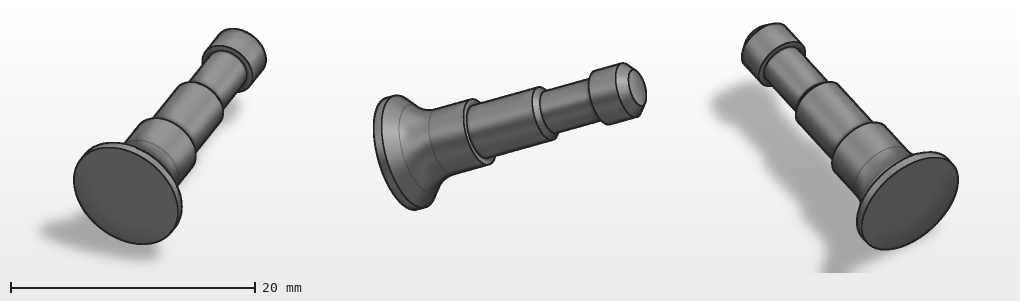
import cadquery as cq
import math

length = 22.1

foot_radius = 4.763
rim_height = 0.75
flare_radius = 3.2
flare_angle = math.radians(45)

collar_radius = 2.78
collar_end = 7.34
shank_radius = 2.25
shank_end = 13.95
neck_radius = 1.8
shank_chamfer = shank_radius - neck_radius
head_radius = 2.3
head_height = 3.3
head_chamfer = 0.77

flare_foot_radius = collar_radius + flare_radius * (1 - math.cos(flare_angle))
flare_foot_y = rim_height + (foot_radius - flare_foot_radius) / math.tan(flare_angle)
flare_top_y = flare_foot_y + flare_radius * math.sin(flare_angle)
half_angle = flare_angle / 2
flare_middle = (
    collar_radius + flare_radius * (1 - math.cos(half_angle)),
    flare_top_y - flare_radius * math.sin(half_angle),
)

profile = (
    cq.Workplane("XY")
    .lineTo(foot_radius, 0)
    .lineTo(foot_radius, rim_height)
    .lineTo(flare_foot_radius, flare_foot_y)
    .threePointArc(flare_middle, (collar_radius, flare_top_y))
    .lineTo(collar_radius, collar_end)
    .lineTo(shank_radius, collar_end)
    .lineTo(shank_radius, shank_end - shank_chamfer)
    .lineTo(neck_radius, shank_end)
    .lineTo(neck_radius, length - head_height)
    .lineTo(head_radius, length - head_height)
    .lineTo(head_radius, length - head_chamfer)
    .lineTo(head_radius - head_chamfer, length)
    .lineTo(0, length)
    .close()
)

result = profile.revolve(360, (0, 0, 0), (0, 1, 0))